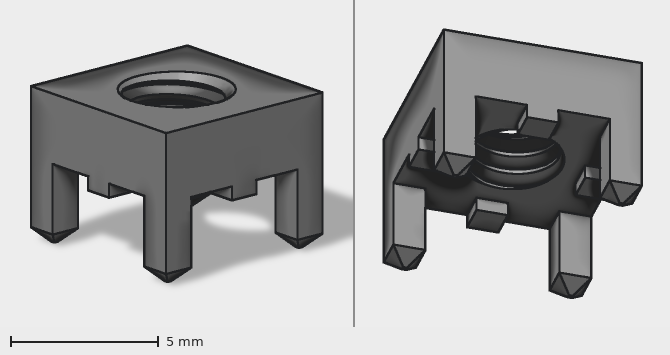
import cadquery as cq
import math

side = 7.0
body_height = 2.5
leg_length = 2.5
leg_width = 1.135
point_height = 0.505
point_width = 0.14
foot_width = 1.105
foot_height = 0.5

major_diameter = 4.0
pitch = 0.7
half_flank_angle = 30.0
minor_diameter = 3.235
inner_overlap = 0.055
root_clearance = 0.015
hole_seam_angle = 137
turns_past_face = 1

major_radius = major_diameter / 2
minor_radius = minor_diameter / 2
thread_depth = major_radius - minor_radius
leg_center = (side - leg_width) / 2
foot_center = (side - foot_width) / 2
sides = (-1, 1)


def make_leg(x, y):
    """Square leg hanging below the body, ending in a blunt pyramid."""
    post = cq.Workplane("XY").center(x, y).rect(leg_width, leg_width).extrude(-leg_length)
    point = (
        cq.Workplane("XY", origin=(x, y, -leg_length))
        .rect(leg_width, leg_width)
        .workplane(offset=-point_height)
        .rect(point_width, point_width)
        .loft(ruled=True)
    )
    return post.union(point)


def make_foot(x, y):
    """Short square standoff, flush with the middle of one side."""
    return cq.Workplane("XY").center(x, y).rect(foot_width, foot_width).extrude(-foot_height)


def make_hole():
    """Through bore at the minor diameter with a 45 degree countersink to the major diameter."""
    profile = [
        (0, 0),
        (minor_radius, 0),
        (minor_radius, body_height - thread_depth),
        (major_radius, body_height),
        (0, body_height),
    ]
    hole = cq.Workplane("XZ").polyline(profile).close().revolve(360, (0, 0), (0, 1))
    return hole.rotate((0, 0, 0), (0, 0, 1), hole_seam_angle)


def make_thread_groove():
    """Helical groove whose profile is centred on the top face at the +X side."""
    flank_slope = math.tan(math.radians(half_flank_angle))
    inner_radius = minor_radius - inner_overlap
    root_radius = major_radius + root_clearance
    mouth_half = pitch * 3 / 8 + inner_overlap * flank_slope
    root_half = mouth_half - (root_radius - inner_radius) * flank_slope

    turns = math.ceil(body_height / pitch) + 2 * turns_past_face
    helix_height = turns * pitch
    start_z = body_height + turns_past_face * pitch - helix_height

    corners = [
        (inner_radius, start_z - mouth_half),
        (root_radius, start_z - root_half),
        (root_radius, start_z + root_half),
        (inner_radius, start_z + mouth_half),
    ]
    edges = [
        cq.Wire.makeHelix(pitch, helix_height, radius).translate(cq.Vector(0, 0, z))
        for radius, z in corners
    ]

    faces = []
    for index, edge in enumerate(edges):
        faces += cq.Face.makeRuledSurface(edges[index - 1], edge).Faces()
    for rise in (0, helix_height):
        outline = cq.Wire.makePolygon([cq.Vector(radius, 0, z + rise) for radius, z in corners], close=True)
        faces.append(cq.Face.makeFromWires(outline))
    groove = cq.Solid.makeSolid(cq.Shell.makeShell(faces)).fix()
    return cq.Workplane(groove)


body = cq.Workplane("XY").rect(side, side).extrude(body_height)
body = body.cut(make_thread_groove()).cut(make_hole())

for x_side in sides:
    for y_side in sides:
        body = body.union(make_leg(x_side * leg_center, y_side * leg_center))

for direction in sides:
    body = body.union(make_foot(direction * foot_center, 0))
    body = body.union(make_foot(0, direction * foot_center))

result = body